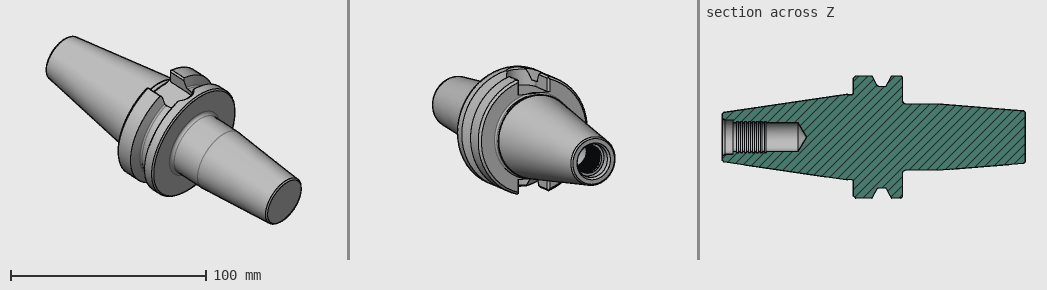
import cadquery as cq
import math

length = 155.4
taper_end = 64.2
flange_front = 67.1
front_rim_end = 77.0
groove_start = 79.5
groove_end = 83.9
rear_rim_start = 86.7
flange_rear = 92.5
shank_cone_start = 110.5

flange_diameter = 63.0
flange_radius = flange_diameter / 2
groove_radius = 26.3
taper_small_radius = 12.7
taper_large_radius = 22.0
neck_radius = 21.8
shank_radius = 17.1
nose_radius = 13.5

end_chamfer = 0.8
front_rim_chamfer = 1.2
rear_rim_chamfer = 0.8
shank_fillet = 1.7
neck_fillet = 1.0
groove_fillet = 1.1

slot_width = 16.3
slot_floor = 22.2
slot_end = 88.6
slot_chamfer = 1.1
slot_clearance = 1.5
mouth_side_height = 29.2
mouth_end_height = 30.5

bore_radius = 7.3
bore_depth = 38.8
bore_cone_angle = 118.0
counterbore_radius = 8.7
counterbore_depth = 5.5
entry_radius = 9.6
entry_depth = 1.5
thread_radius = 8.0
thread_pitch = 2.0
thread_groove_width = 1.0
thread_count = 8


def make_body():
    """Revolve the taper, grooved flange and shank about X."""
    wall_angle = math.atan2(flange_radius - groove_radius, groove_start - front_rim_end)
    fillet_tangent = groove_fillet * math.tan(wall_angle / 2)
    profile = (
        cq.Workplane("XY")
        .lineTo(0, taper_small_radius - end_chamfer)
        .lineTo(end_chamfer, taper_small_radius)
        .lineTo(taper_end, taper_large_radius)
        .lineTo(taper_end, neck_radius)
        .lineTo(flange_front - neck_fillet, neck_radius)
        .radiusArc((flange_front, neck_radius + neck_fillet), -neck_fillet)
        .lineTo(flange_front, flange_radius - front_rim_chamfer)
        .lineTo(flange_front + front_rim_chamfer, flange_radius)
        .lineTo(front_rim_end, flange_radius)
        .lineTo(
            groove_start - fillet_tangent * math.cos(wall_angle),
            groove_radius + fillet_tangent * math.sin(wall_angle),
        )
        .radiusArc((groove_start + fillet_tangent, groove_radius), -groove_fillet)
        .lineTo(groove_end, groove_radius)
        .lineTo(rear_rim_start, flange_radius)
        .lineTo(flange_rear - rear_rim_chamfer, flange_radius)
        .lineTo(flange_rear, flange_radius - rear_rim_chamfer)
        .lineTo(flange_rear, shank_radius + shank_fillet)
        .radiusArc((flange_rear + shank_fillet, shank_radius), -shank_fillet)
        .lineTo(shank_cone_start, shank_radius)
        .lineTo(length - end_chamfer, nose_radius)
        .lineTo(length, nose_radius - end_chamfer)
        .lineTo(length, 0)
        .close()
    )
    return profile.revolve(360, (0, 0, 0), (1, 0, 0))


def make_bore():
    """Revolve the stepped blind bore with its conical bottom."""
    tip_depth = bore_radius / math.tan(math.radians(bore_cone_angle / 2))
    bore = (
        cq.Workplane("XY")
        .lineTo(0, entry_radius)
        .lineTo(entry_depth, counterbore_radius)
        .lineTo(counterbore_depth, counterbore_radius)
        .lineTo(counterbore_depth, bore_radius)
        .lineTo(bore_depth, bore_radius)
        .lineTo(bore_depth + tip_depth, 0)
        .close()
        .revolve(360, (0, 0, 0), (1, 0, 0))
    )
    for index in range(thread_count):
        groove_x = counterbore_depth + (index + 1) * thread_pitch
        ring_plane = cq.Workplane("YZ", origin=(groove_x, 0, 0))
        ring = ring_plane.circle(thread_radius).extrude(thread_groove_width)
        bore = bore.union(ring)
    return bore


def make_slot():
    """Make the upper drive-slot cutter, widened at its edges by chamfers."""
    half_width = slot_width / 2
    arc_center = slot_end - half_width
    cut_top = flange_radius + slot_clearance

    straight = (
        cq.Workplane("XY", origin=(0, 0, slot_floor))
        .moveTo(flange_front, -half_width)
        .lineTo(arc_center, -half_width)
        .threePointArc((slot_end, 0), (arc_center, half_width))
        .lineTo(flange_front, half_width)
        .close()
        .extrude(cut_top - slot_floor)
    )

    front_edges = (
        cq.Workplane("XY", origin=(0, 0, slot_floor))
        .moveTo(flange_front, -half_width - slot_chamfer)
        .lineTo(flange_front + slot_chamfer, -half_width)
        .lineTo(flange_front + slot_chamfer, half_width)
        .lineTo(flange_front, half_width + slot_chamfer)
        .close()
        .extrude(cut_top - slot_floor)
    )

    side_rise = cut_top - mouth_side_height
    side_edges = (
        cq.Workplane("YZ", origin=(flange_front, 0, 0))
        .moveTo(-half_width, mouth_side_height)
        .lineTo(half_width, mouth_side_height)
        .lineTo(half_width + side_rise, cut_top)
        .lineTo(-half_width - side_rise, cut_top)
        .close()
        .extrude(groove_start - flange_front)
    )

    end_rise = cut_top - mouth_end_height
    end_edge = cq.Workplane(
        cq.Solid.makeCone(
            half_width, half_width + end_rise, end_rise,
            pnt=cq.Vector(arc_center, 0, mouth_end_height),
        )
    )
    return straight.union(front_edges).union(side_edges).union(end_edge)


slot = make_slot()
opposite_slot = slot.rotate((0, 0, 0), (1, 0, 0), 180)
result = make_body().cut(make_bore()).cut(slot).cut(opposite_slot)